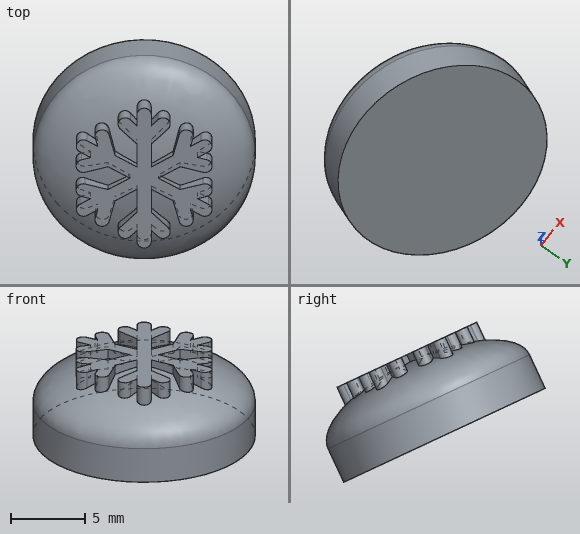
import cadquery as cq

body_diameter = 15.0
rim_height = 2.5
dome_height = 3.0
tilt_angle = 25.0

arm_count = 6
first_arm_angle = 90.0
flake_top = 6.0
flake_root = 4.0
bar_width = 0.96
arm_reach = 5.2
branch_start = 2.73
branch_length = 1.8
branch_angle = 45.0

body_radius = body_diameter / 2
bar_radius = bar_width / 2
flake_height = flake_top - flake_root


def make_body():
    """Cylindrical rim topped by a half-ellipse dome, revolved about Z."""
    profile = (
        cq.Workplane("XZ")
        .lineTo(body_radius, 0)
        .lineTo(body_radius, rim_height)
        .ellipseArc(body_radius, dome_height, 0, 90, startAtCurrent=True)
        .close()
    )
    return profile.revolve(360, (0, 0, 0), (0, 1, 0))


def make_bar(start_x, length, direction):
    """Round-ended bar from a point on the X axis to a tip centre at the given length and direction."""
    return (
        cq.Workplane("XY", origin=(start_x, 0, flake_root))
        .transformed(rotate=(0, 0, direction))
        .center(length / 2, 0)
        .slot2D(length + bar_width, bar_width)
        .extrude(flake_height)
    )


def make_arm():
    """One snowflake arm along +X with its two side branches."""
    arm = make_bar(0, arm_reach - bar_radius, 0)
    for direction in (-branch_angle, branch_angle):
        arm = arm.union(make_bar(branch_start, branch_length, direction))
    return arm


def make_snowflake():
    """Arms evenly spaced about Z, two of them lying along Y."""
    arm = make_arm()
    flake = cq.Workplane("XY")
    for i in range(arm_count):
        arm_angle = first_arm_angle + i * 360 / arm_count
        flake = flake.add(arm.rotate((0, 0, 0), (0, 0, 1), arm_angle))
    return flake.combine()


upright_part = make_body().union(make_snowflake())

result = upright_part.rotate((0, 0, 0), (1, 0, 0), tilt_angle)